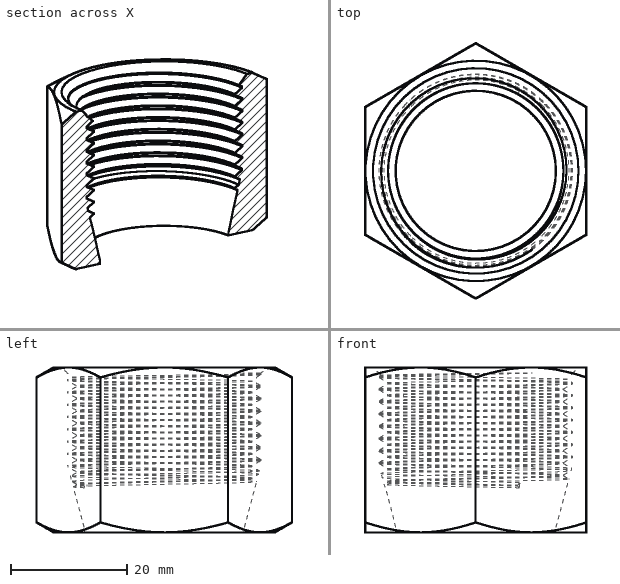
import cadquery as cq
import math

height = 28.45
across_flats = 38.1
hex_half_angle = 30.0
corner_chamfer_angle = 30.0
end_face_radius = 18.98

thread_root_radius = 16.67
thread_crest_radius = 15.1
countersink_radius = 17.69
through_radius = 13.78
seat_half_angle = 15.0
seat_end_z = 0.8

inch = 25.4
pitch = inch / 12
crest_flat = 0.15
flank_angle = 30.0
thread_end_z = 8.08
thread_end_angle = 61.4

root_overlap = 0.05
trim_clearance = 1.0


def revolve_profile(points):
    """Solid of revolution about Z from (radius, z) points."""
    return cq.Workplane("XZ").polyline(points).close().revolve(360, (0, 0, 0), (0, 1, 0))


def make_hexagon():
    """Hexagon with two flats facing along X and its corners turned to a cone at both ends."""
    corner_diameter = across_flats / math.cos(math.radians(hex_half_angle))
    prism = cq.Workplane("XY").polygon(6, corner_diameter).extrude(height)
    prism = prism.rotate((0, 0, 0), (0, 0, 1), hex_half_angle)

    outer_radius = corner_diameter
    drop = (outer_radius - end_face_radius) * math.tan(math.radians(corner_chamfer_angle))
    turned = revolve_profile([
        (0, 0),
        (end_face_radius, 0),
        (outer_radius, drop),
        (outer_radius, height - drop),
        (end_face_radius, height),
        (0, height),
    ])
    return prism.intersect(turned)


def make_bore():
    """Through hole, tapered seat and the cylinder at the thread root."""
    seat_length = (thread_root_radius - through_radius) / math.tan(math.radians(seat_half_angle))
    return revolve_profile([
        (0, 0),
        (through_radius, 0),
        (through_radius, seat_end_z),
        (thread_root_radius, seat_end_z + seat_length),
        (thread_root_radius, height),
        (0, height),
    ])


def make_thread_ridge():
    """Trapezoid ridge along a helix, built as ruled faces between its four edges.

    It runs up past the top face, where the countersink trims it.
    """
    base_radius = thread_root_radius + root_overlap
    half_crest = crest_flat / 2
    half_base = half_crest + (base_radius - thread_crest_radius) * math.tan(math.radians(flank_angle))
    rise = math.ceil((height - thread_end_z) / pitch) * pitch
    corners = [
        (thread_crest_radius, -half_crest),
        (base_radius, -half_base),
        (base_radius, half_base),
        (thread_crest_radius, half_crest),
    ]
    edges = []
    for radius, z in corners:
        helix = cq.Wire.makeHelix(pitch, rise, radius).translate(cq.Vector(0, 0, z))
        edges.append(helix.Edges()[0])

    faces = []
    for edge, next_edge in zip(edges, edges[1:] + edges[:1]):
        faces.append(cq.Face.makeRuledSurface(edge, next_edge))
    start_points = [edge.startPoint() for edge in edges]
    end_points = [edge.endPoint() for edge in edges]
    for points in (start_points, end_points):
        faces.append(cq.Face.makeFromWires(cq.Wire.makePolygon(points, close=True)))

    solid = cq.Solid.makeSolid(cq.Shell.makeShell(faces)).fix()
    ridge = cq.Workplane(obj=solid).rotate((0, 0, 0), (0, 0, 1), thread_end_angle)
    return ridge.translate((0, 0, thread_end_z))


def make_countersink():
    """Ring over the 45 degree cone that also removes the ridge above the top face."""
    inner_radius = thread_crest_radius - trim_clearance
    outer_radius = countersink_radius + pitch
    top_z = height + pitch
    return revolve_profile([
        (inner_radius, height - (countersink_radius - inner_radius)),
        (outer_radius, top_z),
        (inner_radius, top_z),
    ])


body = make_hexagon().cut(make_bore())
threaded_body = body.union(make_thread_ridge())
result = threaded_body.cut(make_countersink())